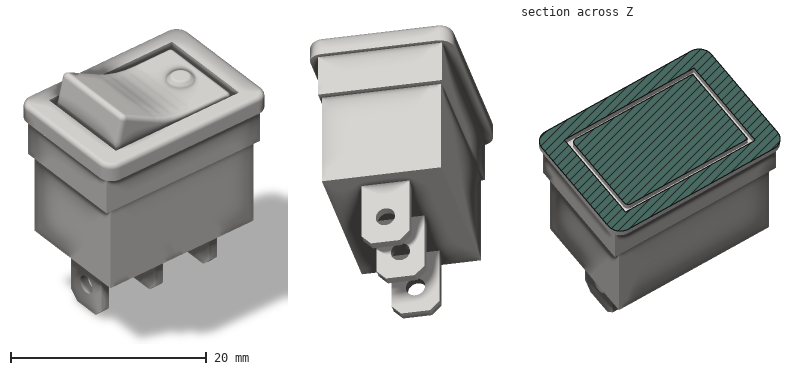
import cadquery as cq
import math

overall_height = 26.75
flange_width, flange_length, flange_height = 15.0, 21.0, 2.0
flange_corner_radius = 1.5
edge_radius = 0.5
collar_width, collar_length, collar_height = 13.0, 20.0, 4.5
body_width, body_length, body_height = 12.5, 18.6, 10.0

terminal_width, terminal_thickness, terminal_length = 5.0, 1.0, 7.0
terminal_pitch = 7.0
terminal_chamfer = 1.0
terminal_hole_diameter = 2.0
terminal_hole_height = 3.0

rocker_gap = 0.5
recess_depth = flange_height

rocker_width, rocker_length = 10.0, 15.0
rocker_bend_start = 2.5
rocker_bend_radius = 10.0
rocker_slope = math.radians(28)
front_lean = math.radians(13.3)

button_base_radius = 1.5
button_height = 0.5
button_y = 4.75
button_rim_radius = 0.5

body_bottom = terminal_length
collar_bottom = body_bottom + body_height
flange_bottom = collar_bottom + collar_height
flange_top = flange_bottom + flange_height
recess_floor = flange_top - recess_depth


def block(width, length, height, bottom):
    return cq.Workplane("XY").workplane(offset=bottom).rect(width, length).extrude(height)


def make_housing():
    flange = block(flange_width, flange_length, flange_height, flange_bottom)
    flange = flange.edges("|Z").fillet(flange_corner_radius)
    flange = flange.faces(">Z").edges().fillet(edge_radius)
    collar = block(collar_width, collar_length, collar_height, collar_bottom)
    body = block(body_width, body_length, body_height, body_bottom)
    recess = block(rocker_width + 2 * rocker_gap, rocker_length + 2 * rocker_gap, recess_depth, recess_floor)
    return body.union(collar).union(flange).cut(recess)


def make_terminal(y):
    terminal = block(terminal_width, terminal_thickness, terminal_length, 0)
    terminal = terminal.faces("<Z").edges("|Y").chamfer(terminal_chamfer)
    hole = (
        cq.Workplane("XZ")
        .center(0, terminal_hole_height)
        .circle(terminal_hole_diameter / 2)
        .extrude(terminal_thickness / 2, both=True)
    )
    return terminal.cut(hole).translate((0, y, 0))


front_y = -rocker_length / 2
tip_center_z = overall_height - edge_radius
tip_center_y = (
    front_y + (tip_center_z - flange_top) * math.tan(front_lean) + edge_radius / math.cos(front_lean)
)
ramp_over_tip_z = tip_center_z + edge_radius / math.cos(rocker_slope)
bend_end_y = rocker_bend_start - rocker_bend_radius * math.sin(rocker_slope)
bend_end_z = ramp_over_tip_z - (bend_end_y - tip_center_y) * math.tan(rocker_slope)
rocker_flat_z = bend_end_z - rocker_bend_radius * (1 - math.cos(rocker_slope))

tip_rise = (bend_end_z - flange_top + (bend_end_y - front_y) * math.tan(rocker_slope)) / (
    1 + math.tan(front_lean) * math.tan(rocker_slope)
)
tip_y = front_y + tip_rise * math.tan(front_lean)
tip_z = flange_top + tip_rise


def make_rocker():
    bend_mid_y = rocker_bend_start - rocker_bend_radius * math.sin(rocker_slope / 2)
    bend_mid_z = rocker_flat_z + rocker_bend_radius * (1 - math.cos(rocker_slope / 2))
    rocker = (
        cq.Workplane("YZ")
        .moveTo(front_y, recess_floor)
        .lineTo(front_y, flange_top)
        .lineTo(tip_y, tip_z)
        .lineTo(bend_end_y, bend_end_z)
        .threePointArc((bend_mid_y, bend_mid_z), (rocker_bend_start, rocker_flat_z))
        .lineTo(-front_y, rocker_flat_z)
        .lineTo(-front_y, recess_floor)
        .close()
        .extrude(rocker_width / 2, both=True)
    )
    side_edges = rocker.faces("<X or >X").edges("not <Z").edges("not (|Z and <Y)")
    cross_edges = rocker.edges("|X").edges(cq.selectors.BoxSelector(
        (-rocker_width, tip_y - edge_radius, tip_z - edge_radius),
        (rocker_width, tip_y + edge_radius, tip_z + edge_radius),
    ))
    back_edge = rocker.faces(">Y").edges(">Z")
    return side_edges.add(cross_edges).add(back_edge).fillet(edge_radius)


def make_button():
    top_radius = button_base_radius - button_height
    button = (
        cq.Workplane("XZ")
        .moveTo(0, 0)
        .lineTo(button_base_radius, 0)
        .lineTo(top_radius, button_height)
        .lineTo(0, button_height)
        .close()
        .revolve(360, (0, 0, 0), (0, 1, 0))
    )
    button = button.faces(">Z").edges().fillet(button_rim_radius)
    return button.translate((0, button_y, rocker_flat_z))


result = make_housing().union(make_rocker()).union(make_button())
for index in (-1, 0, 1):
    result = result.union(make_terminal(index * terminal_pitch))